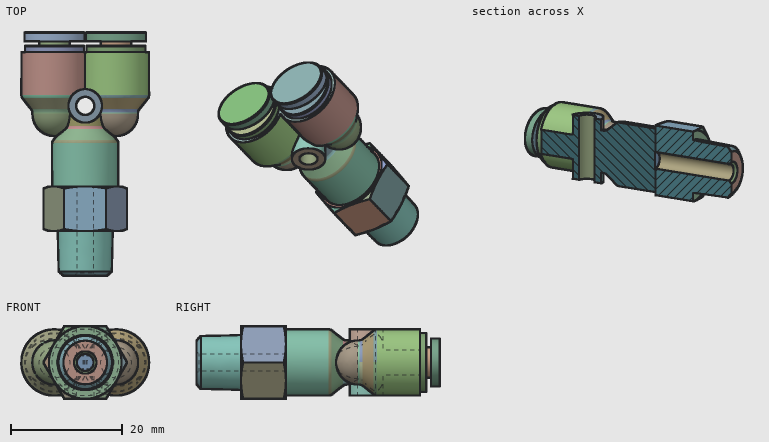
import cadquery as cq
import math


STUD_LENGTH = 16.0
HEX_SIDES = 6
HEX_FROM = 8.0
HEX_ACROSS_FLATS = 13.0
HEX_CHAMFER_ANGLE = 20.0
NOSE_ROOT_DIAMETER = 9.9
NOSE_TIP_DIAMETER = 9.55
NOSE_END_FACE_DIAMETER = 7.8
NOSE_CHAMFER_LENGTH = 0.8
BORE_DIAMETER = 3.0
BORE_MOUTH_CHAMFER = 0.5

BARREL_DIAMETER = 11.9
BRANCH_SPACING = 11.0
NECK_DIAMETER = 7.95
CONE_ANGLE = 38.5
CONE_BLEND_RADIUS = 0.9
STEM_CONE_FROM = 24.0
BALL_CENTER = 28.95
BRANCH_CONE_FROM = 32.0
BODY_END = 40.0

EYE_CENTER = 30.4
EYE_DIAMETER = 6.0
EYE_HOLE_DIAMETER = 3.2

COLLAR_DIAMETER = 10.6
COLLAR_LENGTH = 1.2
BUTTON_GAP = 0.75
BUTTON_LENGTH = 1.65
BUTTON_WIDTH = 10.75
BUTTON_HEIGHT = 8.6
BUTTON_NECK_DIAMETER = 5.5
EDGE_CHAMFER = 0.15

COLLAR_END = BODY_END + COLLAR_LENGTH
BUTTON_FROM = COLLAR_END + BUTTON_GAP
BRANCH_CENTERS = (-BRANCH_SPACING / 2, BRANCH_SPACING / 2)
BARREL_RADIUS = BARREL_DIAMETER / 2
NECK_RADIUS = NECK_DIAMETER / 2


def section(y):
    """Sketch plane square to Y at the given Y, drawing X as X and extruding toward +Y."""
    return cq.Workplane(cq.Plane(origin=(0, y, 0), xDir=(1, 0, 0), normal=(0, 1, 0)))


def turned(points):
    """Solid of revolution about Y from a closed outline of (radius, y) points."""
    return cq.Workplane("XY").polyline(points).close().revolve(360, (0, 0, 0), (0, 1, 0))


def at_branches(shape):
    """One copy of a solid on each branch axis."""
    return [shape.translate((x, 0, 0)) for x in BRANCH_CENTERS]


def make_stud():
    tip_radius = NOSE_TIP_DIAMETER / 2
    nose = turned([
        (0, 0),
        (NOSE_END_FACE_DIAMETER / 2, 0),
        (tip_radius, NOSE_CHAMFER_LENGTH),
        (NOSE_ROOT_DIAMETER / 2, HEX_FROM),
        (0, HEX_FROM),
    ])

    flat_radius = HEX_ACROSS_FLATS / 2
    corner_radius = flat_radius / math.cos(math.pi / HEX_SIDES)
    corner_drop = (corner_radius - flat_radius) * math.tan(math.radians(HEX_CHAMFER_ANGLE))
    hexagon = section(HEX_FROM).polygon(HEX_SIDES, 2 * corner_radius).extrude(STUD_LENGTH - HEX_FROM)
    chamfer_envelope = turned([
        (0, HEX_FROM),
        (flat_radius, HEX_FROM),
        (corner_radius, HEX_FROM + corner_drop),
        (corner_radius, STUD_LENGTH - corner_drop),
        (flat_radius, STUD_LENGTH),
        (0, STUD_LENGTH),
    ])

    bore_radius = BORE_DIAMETER / 2
    bore = turned([
        (0, 0),
        (bore_radius + BORE_MOUTH_CHAMFER, 0),
        (bore_radius, BORE_MOUTH_CHAMFER),
        (bore_radius, STUD_LENGTH),
        (0, STUD_LENGTH),
    ])
    return nose.union(hexagon.intersect(chamfer_envelope)).cut(bore)


def make_barrel(barrel_end, cone_from, neck_end):
    """Barrel that narrows through a cone to its neck, with both cone edges rounded."""
    cone_length = (BARREL_RADIUS - NECK_RADIUS) / math.tan(math.radians(CONE_ANGLE))
    cone_to = cone_from + math.copysign(cone_length, neck_end - barrel_end)
    barrel = turned([
        (0, barrel_end),
        (BARREL_RADIUS, barrel_end),
        (BARREL_RADIUS, cone_from),
        (NECK_RADIUS, cone_to),
        (NECK_RADIUS, neck_end),
        (0, neck_end),
    ])
    return barrel.faces("%CONE").edges("%CIRCLE").fillet(CONE_BLEND_RADIUS)


def make_branch():
    """Barrel whose neck ends in a half ball of the same diameter."""
    ball_quarter = (
        cq.Workplane("XY")
        .moveTo(0, BALL_CENTER)
        .lineTo(NECK_RADIUS, BALL_CENTER)
        .radiusArc((0, BALL_CENTER - NECK_RADIUS), NECK_RADIUS)
        .close()
    )
    ball = ball_quarter.revolve(360, (0, 0, 0), (0, 1, 0))
    return make_barrel(BODY_END, BRANCH_CONE_FROM, BALL_CENTER).union(ball)


def make_body():
    body = make_barrel(STUD_LENGTH, STEM_CONE_FROM, EYE_CENTER)
    for branch in at_branches(make_branch()):
        body = body.union(branch)

    eye = cq.Workplane("XY").center(0, EYE_CENTER)
    boss = eye.circle(EYE_DIAMETER / 2).extrude(BARREL_RADIUS, both=True)
    hole = eye.circle(EYE_HOLE_DIAMETER / 2).extrude(BARREL_RADIUS, both=True)
    return body.union(boss).cut(hole)


def make_collar():
    collar = section(BODY_END).circle(COLLAR_DIAMETER / 2).extrude(COLLAR_LENGTH)
    return collar.faces(">Y").edges().chamfer(EDGE_CHAMFER)


def make_button():
    """Oval push plate on a round neck that rests on the collar."""
    neck = section(COLLAR_END).circle(BUTTON_NECK_DIAMETER / 2).extrude(BUTTON_GAP)
    plate = section(BUTTON_FROM).ellipse(BUTTON_WIDTH / 2, BUTTON_HEIGHT / 2).extrude(BUTTON_LENGTH)
    plate = plate.faces(">Y").edges().chamfer(EDGE_CHAMFER)
    return neck.union(plate)


stud = make_stud()
body = make_body()
collars = at_branches(make_collar())
buttons = at_branches(make_button())

result = cq.Compound.makeCompound(
    [stud.val(), body.val()] + [solid.val() for solid in collars + buttons]
)